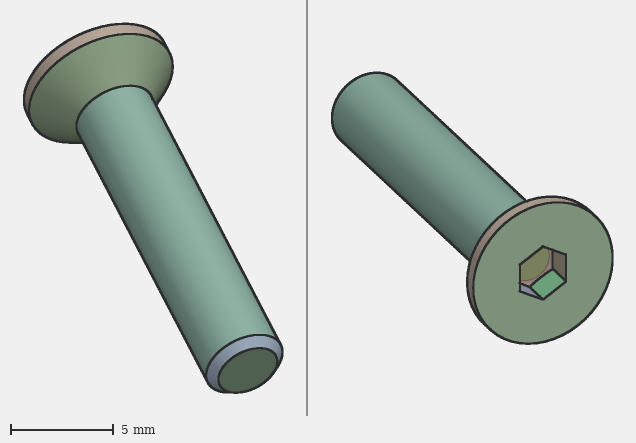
import cadquery as cq
import math

length = 20.0
head_diameter = 7.52
shank_diameter = 4.0
rim_thickness = 0.7
tip_chamfer = 0.45
socket_across_flats = 2.5
socket_depth = 1.58

head_length = 2.5
socket_floor_radius = 1.1
floor_edge_radius = 0.8

head_radius = head_diameter / 2
shank_radius = shank_diameter / 2
across_corners = socket_across_flats / math.cos(math.pi / 6)


def make_body():
    """Revolve the half profile of head and shank about the X axis."""
    return (
        cq.Workplane("XY")
        .lineTo(0, head_radius)
        .lineTo(rim_thickness, head_radius)
        .lineTo(head_length, shank_radius)
        .lineTo(length - tip_chamfer, shank_radius)
        .lineTo(length, shank_radius - tip_chamfer)
        .lineTo(length, 0)
        .close()
        .revolve(360, (0, 0, 0), (1, 0, 0))
    )


def make_socket():
    """Hexagonal drive socket, corners along Z, whose floor curves up into the corners."""
    hexagon = (
        cq.Workplane("YZ")
        .transformed(rotate=(0, 0, 90))
        .polygon(6, across_corners)
        .extrude(socket_depth)
    )
    plug_radius = socket_floor_radius + floor_edge_radius
    arc_offset = floor_edge_radius * math.sqrt(0.5)
    arc_center_x = socket_depth - floor_edge_radius
    rounded_plug = (
        cq.Workplane("XY")
        .lineTo(0, plug_radius)
        .lineTo(arc_center_x, plug_radius)
        .threePointArc(
            (arc_center_x + arc_offset, socket_floor_radius + arc_offset),
            (socket_depth, socket_floor_radius),
        )
        .lineTo(socket_depth, 0)
        .close()
        .revolve(360, (0, 0, 0), (1, 0, 0))
    )
    return hexagon.intersect(rounded_plug)


result = make_body().cut(make_socket())